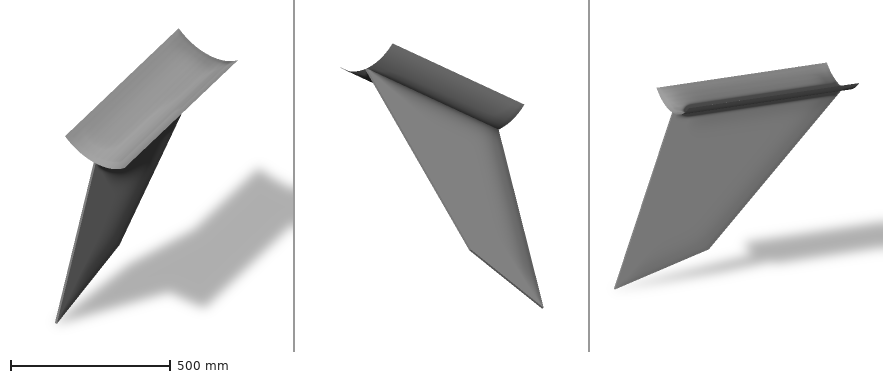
import cadquery as cq
import math

OVERALL_LENGTH = 797.56
OVERALL_HEIGHT = 602.08

TROUGH_RADIUS = 165.1
TROUGH_THICKNESS = 0.0254
TROUGH_HALF_ANGLE = math.radians(45)
INNER_RADIUS = TROUGH_RADIUS - TROUGH_THICKNESS

FIN_THICKNESS = 7.62
TIP_OVERHANG = 203.2
HEEL_RUN = 327.66
HEEL_RISE = 86.36

TROUGH_LENGTH = OVERALL_LENGTH - TIP_OVERHANG
TROUGH_TOP = -INNER_RADIUS * math.cos(TROUGH_HALF_ANGLE)
TROUGH_BOTTOM = -TROUGH_RADIUS
TIP_Y = -TIP_OVERHANG
TIP_Z = TROUGH_TOP - OVERALL_HEIGHT


def point_on_arc(radius, angle):
    """Point in the XZ plane at an angle from straight down, positive toward +X."""
    return (radius * math.sin(angle), -radius * math.cos(angle))


def make_trough():
    """Shell between two concentric arcs, with radial side edges."""
    return (
        cq.Workplane("XZ")
        .moveTo(*point_on_arc(TROUGH_RADIUS, -TROUGH_HALF_ANGLE))
        .threePointArc(
            point_on_arc(TROUGH_RADIUS, 0),
            point_on_arc(TROUGH_RADIUS, TROUGH_HALF_ANGLE),
        )
        .lineTo(*point_on_arc(INNER_RADIUS, TROUGH_HALF_ANGLE))
        .threePointArc(
            point_on_arc(INNER_RADIUS, 0),
            point_on_arc(INNER_RADIUS, -TROUGH_HALF_ANGLE),
        )
        .close()
        .extrude(-TROUGH_LENGTH)
    )


def make_fin():
    """Forward-leaning plate whose top edge is hollowed to fit the underside of the trough."""
    top_z = TROUGH_TOP
    plate = (
        cq.Workplane("YZ")
        .moveTo(0, top_z)
        .lineTo(0, TROUGH_BOTTOM)
        .lineTo(TIP_Y, TIP_Z)
        .lineTo(TIP_Y + HEEL_RUN, TIP_Z + HEEL_RISE)
        .lineTo(TROUGH_LENGTH, TROUGH_BOTTOM)
        .lineTo(TROUGH_LENGTH, top_z)
        .close()
        .extrude(FIN_THICKNESS / 2, both=True)
    )
    trough_envelope = cq.Workplane("XZ").circle(TROUGH_RADIUS).extrude(-TROUGH_LENGTH)
    return plate.cut(trough_envelope)


result = make_trough().union(make_fin())